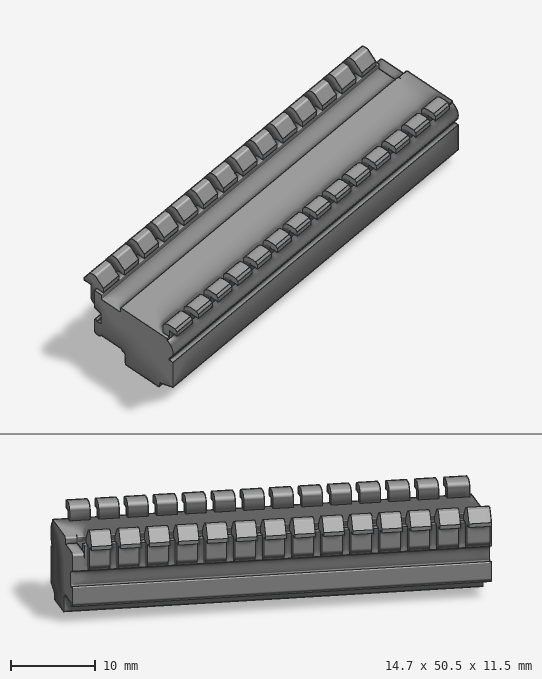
import cadquery as cq


LENGTH = 50.5
BODY_TOP = 9.5
BODY_LEFT = 1.95
BODY_RIGHT = 14.4

CHANNEL_LEFT = 3.15
CHANNEL_RIGHT = 6.05
CHANNEL_FLOOR = 8.7
CHANNEL_ROUND = 0.25
CHANNEL_SMALL_ROUND = 0.1

GROOVE_DEPTH_X = 3.05
GROOVE_ROOF = 6.45
GROOVE_ROOF_INNER = 6.1
GROOVE_FLOOR = 4.3
GROOVE_ROUND = 0.25
BEAD_WIDTH = 0.45
BEAD_HEIGHT = 0.2

LIP_BOTTOM = 1.95
LIP_ROUND = 0.5
LIP_FLAT_END = 2.8
LEDGE_LEFT = 3.05
LEDGE_BOTTOM = 2.3

FOOT_LEFT = 6.85
FOOT_DRAFT = 0.1
FOOT_RIGHT = 12.15
FOOT_ROUND = 0.2
LEDGE_RIGHT = 6.2
SHOULDER_LEFT = 6.4
SHOULDER_BOTTOM = 2.0
RAMP_RIGHT = 1.55
RAMP_LEFT = 0.8
RAMP_START = 12.3

BULGE_CREST = BODY_RIGHT
BULGE_CREST_HEIGHT = 7.7
BULGE_START = 13.5
BULGE_START_HEIGHT = 9.2
BULGE_BOTTOM = 13.8
NOTCH_BOTTOM = 5.95
NOTCH_HEIGHT = 0.25

OPEN_LENGTH = 1.4
OPEN_FLOOR = 8.65
OPEN_LEFT_ROUND = 0.6
OPEN_RIGHT_ROUND = 0.45

LATCH_COUNT = 14
LATCH_ROW_SPAN = 45.5
LATCH_PITCH = LATCH_ROW_SPAN / (LATCH_COUNT - 1)
LATCH_WIDTH = 2.45
LAST_LATCH_WIDTH = 2.75
FIRST_LATCH_GAP = 1.85
LATCH_TOP = 11.5

HEAD_RIGHT = 3.05
HEAD_LEFT_SHOULDER = 9.95
HEAD_RIGHT_SHOULDER = 10.25
HEAD_PEAK_LEFT = 0.95
HEAD_ROUND = 0.5
STEM_LEFT = 1.05
STEM_CURVE_TOP = 7.45
LATCH_OVERLAP = 0.5

POST_LEFT = 12.4
POST_RIGHT = 13.5
ARM_RIGHT = 14.7
ARM_BOTTOM = 10.5
ARM_OUTER_ROUND = POST_RIGHT - POST_LEFT
ARM_TIP_CHAMFER = 0.3

EDGE_REACH = 0.025


def extrude_along_y(outline, start, length):
    """Extrude a closed XZ outline from Y = start toward +Y."""
    return outline.extrude(-length).translate((0, start, 0))


def section():
    """Start an outline in the XZ plane."""
    return cq.Workplane("XZ")


def round_edge(solid, x, z, radius):
    """Round the edges parallel to Y that pass through (x, z)."""
    box = cq.selectors.BoxSelector(
        (x - EDGE_REACH, 0, z - EDGE_REACH), (x + EDGE_REACH, LENGTH, z + EDGE_REACH)
    )
    return solid.edges("|Y").edges(box).fillet(radius)


def make_body():
    outline = (
        section()
        .moveTo(BODY_LEFT, BODY_TOP)
        .lineTo(CHANNEL_LEFT, BODY_TOP)
        .lineTo(CHANNEL_LEFT, CHANNEL_FLOOR)
        .lineTo(CHANNEL_RIGHT, CHANNEL_FLOOR)
        .lineTo(CHANNEL_RIGHT, BODY_TOP)
        .lineTo(BULGE_START, BODY_TOP)
        .lineTo(BULGE_START, BULGE_START_HEIGHT)
        .threePointArc(
            (BULGE_CREST, BULGE_CREST_HEIGHT),
            (BULGE_BOTTOM, NOTCH_BOTTOM + NOTCH_HEIGHT),
        )
        .lineTo(BULGE_BOTTOM, NOTCH_BOTTOM)
        .lineTo(BODY_RIGHT, NOTCH_BOTTOM)
        .lineTo(BODY_RIGHT, RAMP_RIGHT)
        .lineTo(RAMP_START, RAMP_LEFT)
        .lineTo(FOOT_RIGHT, 0)
        .lineTo(FOOT_LEFT, 0)
        .lineTo(FOOT_LEFT - FOOT_DRAFT, SHOULDER_BOTTOM)
        .lineTo(SHOULDER_LEFT, SHOULDER_BOTTOM)
        .lineTo(LEDGE_RIGHT, LEDGE_BOTTOM)
        .lineTo(LEDGE_LEFT, LEDGE_BOTTOM)
        .lineTo(LIP_FLAT_END, LIP_BOTTOM)
        .lineTo(BODY_LEFT, LIP_BOTTOM)
        .lineTo(BODY_LEFT, GROOVE_FLOOR)
        .threePointArc(
            (BODY_LEFT + BEAD_WIDTH / 2, GROOVE_FLOOR + BEAD_HEIGHT),
            (BODY_LEFT + BEAD_WIDTH, GROOVE_FLOOR),
        )
        .lineTo(GROOVE_DEPTH_X, GROOVE_FLOOR)
        .lineTo(GROOVE_DEPTH_X, GROOVE_ROOF_INNER)
        .lineTo(BODY_LEFT, GROOVE_ROOF)
        .close()
    )
    body = extrude_along_y(outline, 0, LENGTH)
    body = round_edge(body, CHANNEL_LEFT, BODY_TOP, CHANNEL_SMALL_ROUND)
    body = round_edge(body, CHANNEL_LEFT, CHANNEL_FLOOR, CHANNEL_SMALL_ROUND)
    body = round_edge(body, CHANNEL_RIGHT, CHANNEL_FLOOR, CHANNEL_SMALL_ROUND)
    body = round_edge(body, CHANNEL_RIGHT, BODY_TOP, CHANNEL_ROUND)
    body = round_edge(body, GROOVE_DEPTH_X, GROOVE_FLOOR, GROOVE_ROUND)
    body = round_edge(body, GROOVE_DEPTH_X, GROOVE_ROOF_INNER, GROOVE_ROUND)
    body = round_edge(body, BODY_LEFT, LIP_BOTTOM, LIP_ROUND)
    body = round_edge(body, FOOT_LEFT, 0, FOOT_ROUND)
    return round_edge(body, FOOT_LEFT - FOOT_DRAFT, SHOULDER_BOTTOM, FOOT_ROUND)


def make_open_end_cutter():
    """Space removed at the far end, where the channel is open to the left."""
    outline = (
        section()
        .moveTo(BODY_LEFT, OPEN_FLOOR - OPEN_LEFT_ROUND)
        .radiusArc((BODY_LEFT + OPEN_LEFT_ROUND, OPEN_FLOOR), OPEN_LEFT_ROUND)
        .lineTo(CHANNEL_RIGHT, OPEN_FLOOR)
        .lineTo(CHANNEL_RIGHT, BODY_TOP - OPEN_RIGHT_ROUND)
        .radiusArc((CHANNEL_RIGHT + OPEN_RIGHT_ROUND, BODY_TOP), OPEN_RIGHT_ROUND)
        .lineTo(BODY_LEFT, BODY_TOP)
        .close()
    )
    return extrude_along_y(outline, LENGTH - OPEN_LENGTH, OPEN_LENGTH)


def make_left_latch(start, width):
    head_peak_right = HEAD_RIGHT - (LATCH_TOP - HEAD_RIGHT_SHOULDER)
    outline = (
        section()
        .moveTo(STEM_LEFT, BODY_TOP)
        .lineTo(0, BODY_TOP)
        .lineTo(0, HEAD_LEFT_SHOULDER)
        .lineTo(HEAD_PEAK_LEFT, LATCH_TOP)
        .lineTo(head_peak_right, LATCH_TOP)
        .lineTo(HEAD_RIGHT, HEAD_RIGHT_SHOULDER)
        .lineTo(HEAD_RIGHT, BODY_TOP)
        .lineTo(BODY_LEFT + LATCH_OVERLAP, BODY_TOP)
        .lineTo(BODY_LEFT + LATCH_OVERLAP, GROOVE_ROOF)
        .lineTo(BODY_LEFT, GROOVE_ROOF)
        .tangentArcPoint((STEM_LEFT, STEM_CURVE_TOP), relative=False)
        .close()
    )
    latch = extrude_along_y(outline, start, width)
    latch = round_edge(latch, HEAD_PEAK_LEFT, LATCH_TOP, HEAD_ROUND)
    return round_edge(latch, head_peak_right, LATCH_TOP, HEAD_ROUND)


def make_right_latch(start, width):
    outline = (
        section()
        .moveTo(POST_LEFT, BODY_TOP - LATCH_OVERLAP)
        .lineTo(POST_LEFT, LATCH_TOP)
        .lineTo(ARM_RIGHT - ARM_TIP_CHAMFER, LATCH_TOP)
        .lineTo(ARM_RIGHT, LATCH_TOP - ARM_TIP_CHAMFER)
        .lineTo(ARM_RIGHT, ARM_BOTTOM)
        .lineTo(POST_RIGHT, ARM_BOTTOM)
        .lineTo(POST_RIGHT, BODY_TOP)
        .lineTo(POST_RIGHT - LATCH_OVERLAP, BODY_TOP - LATCH_OVERLAP)
        .close()
    )
    latch = extrude_along_y(outline, start, width)
    return round_edge(latch, POST_LEFT, LATCH_TOP, ARM_OUTER_ROUND)


result = make_body().cut(make_open_end_cutter())

for index in range(LATCH_COUNT):
    is_last = index == LATCH_COUNT - 1
    latch_width = LAST_LATCH_WIDTH if is_last else LATCH_WIDTH
    latch_start = LENGTH - FIRST_LATCH_GAP - index * LATCH_PITCH - latch_width
    result = result.union(make_left_latch(latch_start, latch_width))
    result = result.union(make_right_latch(latch_start, latch_width))